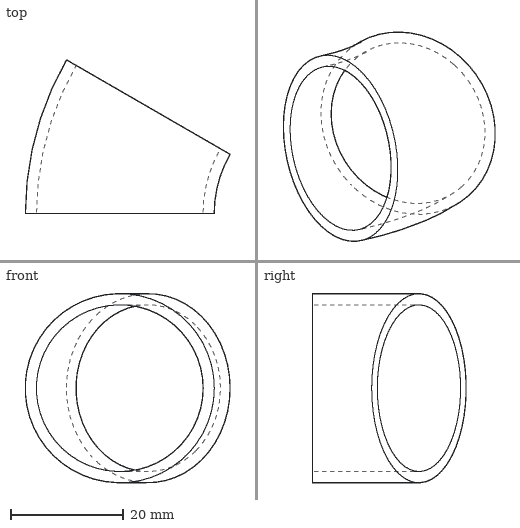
import cadquery as cq
import math

overall_width = 36.53
bend_radius = 38.0
bend_angle = 30.0
wall_thickness = 2.0

bend_cosine = math.cos(math.radians(bend_angle))
outer_radius = (overall_width - bend_radius * (1 - bend_cosine)) / (1 + bend_cosine)
inner_radius = outer_radius - wall_thickness

bend_axis_start = (bend_radius, outer_radius)
bend_axis_end = (bend_radius, 0)

result = (
    cq.Workplane("XZ")
    .circle(outer_radius)
    .circle(inner_radius)
    .revolve(bend_angle, bend_axis_start, bend_axis_end)
)